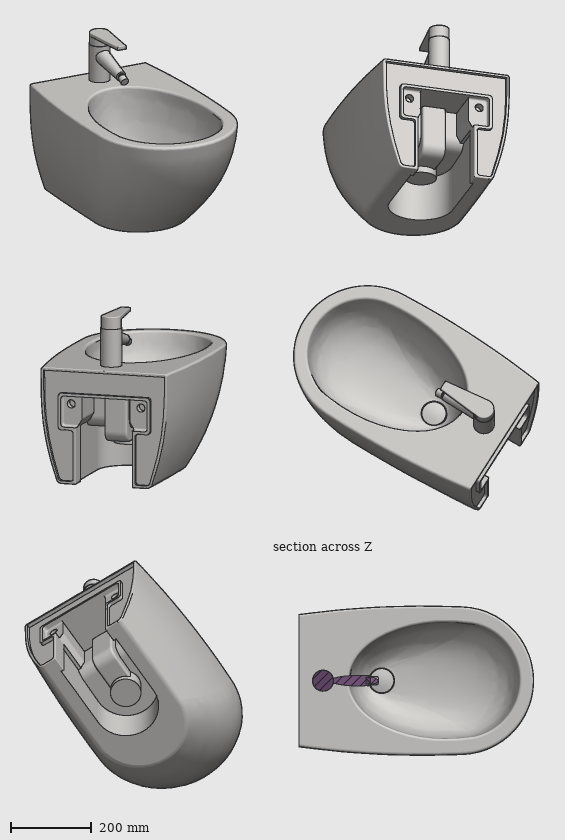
import cadquery as cq
import math

basin_height = 290.0
top_edge_round = 6.5
rear_edge_round = 2.5
bottom_edge_round = 14.5

shell_sections = [
    (0.0, 120.0, 120.5, 262.0, 383.0, 1.0),
    (72.5, 142.5, 152.5, 315.5, 462.0, 3.5),
    (145.0, 157.0, 170.5, 355.0, 524.0, 6.0),
    (217.5, 163.0, 180.0, 384.5, 562.5, 7.5),
    (basin_height, 163.5, 182.5, 402.5, 581.0, 9.0),
]

drain_x = 205.0
drain_diameter = 60.0
drain_chamfer = 2.0
bowl_floor_z = 133.5
bowl_sections = [
    (bowl_floor_z, 171.5, 245.0, 32.5),
    (148.0, 159.5, 371.0, 73.0),
    (185.5, 142.0, 481.5, 113.5),
    (238.0, 129.5, 530.5, 138.5),
    (basin_height, 123.0, 547.5, 144.5),
]
egg_centre_share = 0.575
egg_seam_share = 0.736
egg_spline_steps = 8
bowl_rim_round = 6.0

plate_thickness = 37.5
panel_depth = 9.0
rim_width = 7.0
panel_corner_round = 11.5
panel_bottom_flare = 3.5
rim_corner_round = 8.0
wing_half_width = 112.0
wing_bottom_z = 142.5
wing_top_z = 221.0
wing_depth = 17.5
wing_corner_round = 8.0
wing_floor_round = 4.5
stem_half_width = 73.0
window_half_width = 62.0
window_bottom_z = 161.0
window_corner_round = 8.5
opening_edge_round = 2.5
mount_hole_diameter = 20.5
mount_hole_y = 90.5
mount_hole_z = 199.0

cavity_half_width = 81.0
cavity_wall_x = 113.0
cavity_wall_bottom_z = 153.0
ceiling_rear_z = 123.5
ceiling_front_z = 113.0

duct_half_width = 29.5
duct_rear_x = 95.5
duct_bottom_z = 91.5
duct_heel_round = 26.5
duct_edge_round = 6.0
spigot_diameter = 75.5
spigot_bottom_z = 75.5

plug_rim_thickness = 4.0
plug_bottom_z = 127.5
plug_dome_height = 4.5

tap_x = 60.0
column_diameter = 52.0
column_bottom_z = 293.5
column_top_z = 388.0
cap_diameter = 50.0
tap_top_z = 419.0
lever_thickness = 10.0
lever_end_x = 178.5
lever_end_half_width = 12.0
lever_top_round = 2.5
lever_bottom_round = 2.0

spout_start_z = 363.0
spout_tilt = 12.4
spout_root_diameter = 42.0
spout_tip_diameter = 25.0
spout_length = 116.0
nozzle_tilt = 23.5
nozzle_diameter = 20.5
nozzle_length = 18.5
joint_diameter = 15.0
joint_length = 3.5


def shell_section(z, rear_half, seam_half, seam_x, front_x, bulge):
    """Closed outline: flat rear, two bulged sides and a round front."""
    side_half = (rear_half + seam_half) / 2 + bulge
    return (
        cq.Workplane("XY", origin=(0, 0, z))
        .moveTo(0, rear_half)
        .lineTo(0, -rear_half)
        .threePointArc((seam_x / 2, -side_half), (seam_x, -seam_half))
        .threePointArc((front_x, 0), (seam_x, seam_half))
        .threePointArc((seam_x / 2, side_half), (0, rear_half))
        .wire()
        .val()
    )


def egg_section(z, rear_x, front_x, half_width):
    """Closed egg: an ellipse at the rear, a circular arc at the front."""
    length = front_x - rear_x
    rear_radius = egg_centre_share * length
    centre_x = rear_x + rear_radius
    seam_offset = (egg_seam_share - egg_centre_share) * length
    seam_angle = math.acos(seam_offset / rear_radius)
    seam_half = half_width * math.sin(seam_angle)
    sweep = 2 * math.pi - 2 * seam_angle
    ellipse_points = []
    for step in range(egg_spline_steps + 1):
        angle = seam_angle + sweep * step / egg_spline_steps
        ellipse_points.append((centre_x + rear_radius * math.cos(angle), half_width * math.sin(angle)))
    return (
        cq.Workplane("XY", origin=(0, 0, z))
        .spline(ellipse_points)
        .threePointArc((front_x, 0), (centre_x + seam_offset, seam_half))
        .wire()
        .val()
    )


def block(x_range, y_half, z_range):
    """Box that is symmetric about Y = 0."""
    return (
        cq.Workplane("XY")
        .box(x_range[1] - x_range[0], 2 * y_half, z_range[1] - z_range[0], centered=(False, True, False))
        .translate((x_range[0], 0, z_range[0]))
    )


def side_box(side, depth, y_range, z_range):
    """Selector for edges on one side (+1 or -1 along Y) between X = 0 and `depth`."""
    margin = 0.05
    return cq.selectors.BoxSelector(
        (-margin, side * y_range[0], z_range[0] - margin),
        (depth + margin, side * y_range[1], z_range[1] + margin),
    )


def make_shell():
    wires = [shell_section(*section) for section in shell_sections]
    shell = cq.Workplane(cq.Solid.makeLoft(wires))
    shell = shell.faces(">Z").edges("not <X").fillet(top_edge_round)
    shell = shell.faces("<Z").edges("not <X").fillet(bottom_edge_round)
    return shell.faces("<X").edges().fillet(rear_edge_round)


def make_bowl():
    return cq.Workplane(cq.Solid.makeLoft([egg_section(*section) for section in bowl_sections]))


def make_panel():
    """Sunken part of the rear face, between the outer edge and the rim of the opening."""
    inset = rim_width
    side_points = [(-(section[1] - inset), section[0]) for section in shell_sections[1:-1]]
    bottom_half = shell_sections[0][1] - inset + panel_bottom_flare
    top_half = shell_sections[-1][1] - inset
    left = [(-bottom_half, inset)] + side_points + [(-top_half, basin_height - inset)]
    right = [(-y, z) for y, z in reversed(left)]
    panel = (
        cq.Workplane("YZ")
        .moveTo(*left[0])
        .spline(left[1:], includeCurrent=True)
        .lineTo(*right[0])
        .spline(right[1:], includeCurrent=True)
        .close()
        .extrude(panel_depth)
    )
    wing_rim = block(
        (0, panel_depth), wing_half_width + rim_width, (wing_bottom_z - rim_width, wing_top_z + rim_width)
    )
    wing_rim = wing_rim.edges("|X").fillet(rim_corner_round)
    stem_rim = block((0, panel_depth), stem_half_width + rim_width, (0, wing_bottom_z))
    panel = panel.cut(wing_rim.union(stem_rim))
    outer_range = (bottom_half - inset / 2, bottom_half + inset / 2)
    stem_range = (stem_half_width, stem_half_width + 2 * inset)
    for side in (-1, 1):
        outer_corner = side_box(side, panel_depth, outer_range, (0, 2 * inset))
        stem_corners = side_box(side, panel_depth, stem_range, (0, wing_bottom_z))
        panel = panel.edges("|X").edges(outer_corner).fillet(panel_corner_round)
        panel = panel.edges("|X").edges(stem_corners).fillet(rim_corner_round)
    return panel


def make_wings():
    """Shallow pocket in the rear face, with the two mounting holes in its floor."""
    wings = block((0, wing_depth), wing_half_width, (wing_bottom_z, wing_top_z))
    wings = wings.edges("|X").fillet(wing_corner_round).faces(">X").edges().fillet(wing_floor_round)
    holes = (
        cq.Workplane("YZ")
        .pushPoints([(-mount_hole_y, mount_hole_z), (mount_hole_y, mount_hole_z)])
        .circle(mount_hole_diameter / 2)
        .extrude(plate_thickness)
    )
    return wings.union(holes)


def make_opening(depth):
    """Through opening: a wide stem that narrows to the window between the wings."""
    right = [
        (stem_half_width, 0),
        (stem_half_width, wing_bottom_z),
        (window_half_width, window_bottom_z),
        (window_half_width, wing_top_z),
    ]
    left = [(-y, z) for y, z in reversed(right)]
    opening = cq.Workplane("YZ").polyline(right + left).close().extrude(depth)
    return opening.edges("|X and (not <Z) and (not >Z)").fillet(window_corner_round)


def make_cavity():
    """Opening and the space under the bowl, less the duct and the spigot inside it."""
    front_x = drain_x + cavity_half_width
    round_front = cq.Workplane("XY").center(drain_x, 0).circle(cavity_half_width).extrude(wing_bottom_z)
    plan = (
        block((plate_thickness, drain_x), cavity_half_width, (0, wing_bottom_z))
        .union(round_front)
        .union(make_opening(drain_x))
    )
    heel = cavity_wall_bottom_z - ceiling_rear_z
    heel_mid = heel * (1 - math.sqrt(0.5))
    side = (
        cq.Workplane("XZ")
        .lineTo(0, wing_top_z)
        .lineTo(cavity_wall_x, wing_top_z)
        .lineTo(cavity_wall_x, cavity_wall_bottom_z)
        .threePointArc(
            (cavity_wall_x + heel_mid, ceiling_rear_z + heel_mid), (cavity_wall_x + heel, ceiling_rear_z)
        )
        .lineTo(front_x, ceiling_front_z)
        .lineTo(front_x, 0)
        .close()
        .extrude(cavity_half_width, both=True)
    )
    duct = block((duct_rear_x, drain_x), duct_half_width, (duct_bottom_z, wing_top_z))
    duct = duct.edges("|Y and <X and <Z").fillet(duct_heel_round)
    duct = duct.faces("<X").edges("|Z").fillet(duct_edge_round)
    spigot = (
        cq.Workplane("XY", origin=(drain_x, 0, spigot_bottom_z))
        .circle(spigot_diameter / 2)
        .extrude(bowl_floor_z - spigot_bottom_z)
    )
    return plan.intersect(side).cut(duct).cut(spigot)


def make_drain_seat():
    """Round recess in the bowl floor, chamfered at the top."""
    seat = (
        cq.Workplane("XY", origin=(drain_x, 0, plug_bottom_z))
        .circle(drain_diameter / 2)
        .extrude(bowl_floor_z - plug_bottom_z)
    )
    funnel = (
        cq.Workplane("XY", origin=(drain_x, 0, bowl_floor_z - drain_chamfer))
        .circle(drain_diameter / 2)
        .workplane(offset=drain_chamfer)
        .circle(drain_diameter / 2 + drain_chamfer)
        .loft()
    )
    return seat.union(funnel)


def make_plug():
    """Domed disc, revolved about its vertical axis."""
    radius = drain_diameter / 2
    dome_radius = (radius**2 + plug_dome_height**2) / (2 * plug_dome_height)
    half_radius = radius / 2
    half_rise = plug_dome_height - dome_radius + math.sqrt(dome_radius**2 - half_radius**2)
    return (
        cq.Workplane("XZ", origin=(drain_x, 0, plug_bottom_z))
        .lineTo(radius, 0)
        .lineTo(radius, plug_rim_thickness)
        .threePointArc(
            (half_radius, plug_rim_thickness + half_rise), (0, plug_rim_thickness + plug_dome_height)
        )
        .close()
        .revolve(360, (0, 0, 0), (0, 1, 0))
    )


def make_basin():
    margin = 0.5
    basin = make_shell().cut(make_bowl())
    rim_rear_x = bowl_sections[-1][1] - 6
    rim_front_x = bowl_sections[-1][2] + 6
    rim_half = bowl_sections[-1][3] + 11.5
    rim_box = cq.selectors.BoxSelector(
        (rim_rear_x, -rim_half, basin_height - margin),
        (rim_front_x, rim_half, basin_height + margin),
        boundingbox=True,
    )
    basin = basin.edges(rim_box).fillet(bowl_rim_round)
    basin = basin.cut(make_panel()).cut(make_wings()).cut(make_cavity())
    stem_range = (stem_half_width - margin, stem_half_width + margin)
    for side in (-1, 1):
        stem_edge = side_box(side, 0, stem_range, (0, wing_bottom_z))
        basin = basin.edges("|Z").edges(stem_edge).fillet(opening_edge_round)
    return basin.cut(make_drain_seat())


def make_column():
    return (
        cq.Workplane("XY", origin=(tap_x, 0, column_bottom_z))
        .circle(column_diameter / 2)
        .extrude(column_top_z - column_bottom_z)
    )


def make_handle():
    """Cap with a tapering lever."""
    cap_radius = cap_diameter / 2
    cap = (
        cq.Workplane("XY", origin=(tap_x, 0, column_top_z))
        .circle(cap_radius)
        .extrude(tap_top_z - column_top_z)
    )
    reach = lever_end_x - tap_x
    end_distance = math.hypot(reach, lever_end_half_width)
    lean = math.asin(cap_radius / end_distance) - math.atan2(lever_end_half_width, reach)
    touch_x = tap_x + cap_radius * math.sin(lean)
    touch_y = cap_radius * math.cos(lean)
    lever = (
        cq.Workplane("XY", origin=(0, 0, tap_top_z - lever_thickness))
        .moveTo(touch_x, touch_y)
        .lineTo(lever_end_x, lever_end_half_width)
        .lineTo(lever_end_x, -lever_end_half_width)
        .lineTo(touch_x, -touch_y)
        .close()
        .extrude(lever_thickness)
    )
    lever = lever.faces("<Z").edges("not <X").fillet(lever_bottom_round)
    handle = cap.union(lever)
    return handle.faces(">Z").edges().fillet(lever_top_round)


def tilted_plane(x, z, tilt):
    """Plane whose normal points to +X, tilted down by `tilt` degrees."""
    angle = math.radians(tilt)
    return cq.Plane(origin=(x, 0, z), xDir=(0, 1, 0), normal=(math.cos(angle), 0, -math.sin(angle)))


def along(start, distance, tilt):
    """Point (X, Z) at a distance from `start`, going to +X and down by `tilt` degrees."""
    angle = math.radians(tilt)
    return (start[0] + distance * math.cos(angle), start[1] - distance * math.sin(angle))


spout_root = (tap_x, spout_start_z)
spout_tip = along(spout_root, spout_length, spout_tilt)
nozzle_root = along(spout_tip, joint_length, nozzle_tilt)


def make_spout(column):
    """Cone from the column's axis to the tip, less the column itself."""
    spout = (
        cq.Workplane(tilted_plane(*spout_root, spout_tilt))
        .circle(spout_root_diameter / 2)
        .workplane(offset=spout_length)
        .circle(spout_tip_diameter / 2)
        .loft()
    )
    return spout.cut(column)


def make_joint():
    """Short pin that reaches into both the spout and the nozzle."""
    return (
        cq.Workplane(tilted_plane(*spout_tip, nozzle_tilt))
        .circle(joint_diameter / 2)
        .extrude(2 * joint_length, both=True)
    )


def make_nozzle():
    return (
        cq.Workplane(tilted_plane(*nozzle_root, nozzle_tilt))
        .circle(nozzle_diameter / 2)
        .extrude(nozzle_length)
    )


basin = make_basin()
plug = make_plug()
column = make_column()
handle = make_handle()
nozzle = make_nozzle()
joint = make_joint().cut(nozzle)
spout = make_spout(column).cut(joint)

result = cq.Compound.makeCompound(
    [basin.val(), plug.val(), column.val(), handle.val(), spout.val(), joint.val(), nozzle.val()]
)